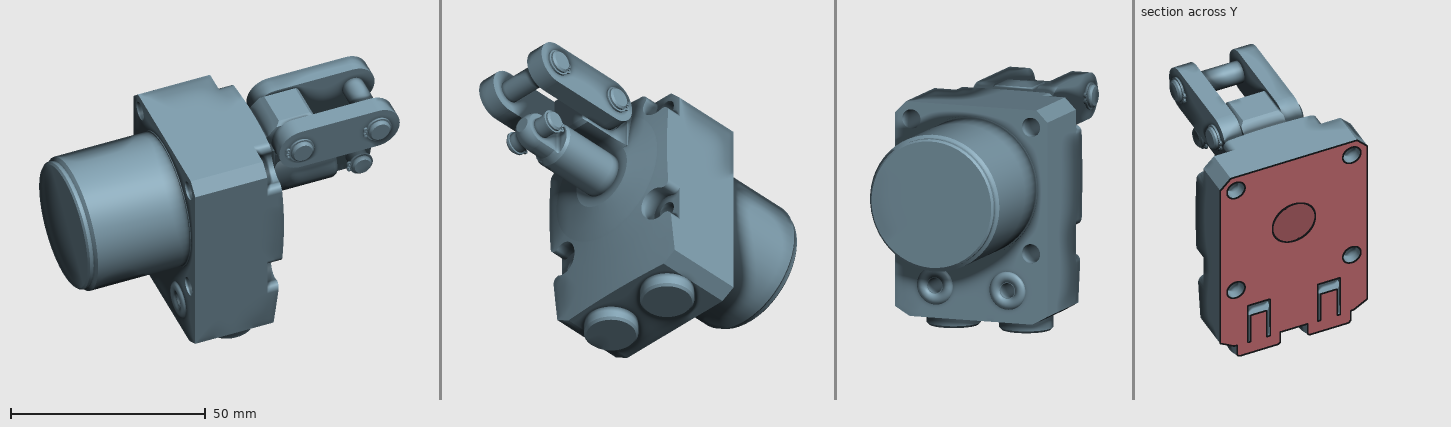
import cadquery as cq
import math

BLOCK_HALF_WIDTH = 21.0
BLOCK_TOP = 21.0
BLOCK_BOTTOM = -35.0
TOP_CHAMFER = 3.0
BOTTOM_CHAMFER_WIDTH = 4.0
BOTTOM_CHAMFER_ANGLE = 30.0
BOTTOM_CHAMFER_HEIGHT = BOTTOM_CHAMFER_WIDTH * math.tan(math.radians(BOTTOM_CHAMFER_ANGLE))

DOME_Y = 27.0
DOME_FLAT_RADIUS = 9.0
DOME_STEP_RADIUS = 18.0
DOME_STEP_Y = 25.1
DOME_OUTER_SLOPE = 0.162
DOME_OUTER_RADIUS = 45.0

CYLINDER_RADIUS = 17.85
CYLINDER_LENGTH = 28.0
CYLINDER_COLLAR_RADIUS = 18.3
CYLINDER_COLLAR_LENGTH = 0.25
CAP_RADIUS = 17.0
CAP_LENGTH = 1.5
CAP_CHAMFER = 0.5
CYLINDER_CHAMFER = CYLINDER_RADIUS - CAP_RADIUS

BOLT_OFFSET = 16.5
BOLT_DIAMETER = 5.0
POCKET_FLOOR_Y = 20.0
UPPER_POCKET_RADIUS = 4.0
LOWER_POCKET_RADIUS = 4.5
POCKET_LIP_RADIUS = 1.7
POCKET_OVERCUT = 2.0

PORT_X = 10.0
PORT_Y = 13.2
PORT_RADIUS = 7.0
PORT_BOTTOM = -38.81
PORT_CHAMFER = 0.6
SEAL_Z = -26.6
SEAL_SECTION_RADIUS = 1.55
SEAL_RING_RADIUS = 3.55
SEAL_CENTER_Y = 0.65
PORT_BORE_RADIUS = 4.5
PORT_BORE_TOP = -23.0
PORT_SPIGOT_RADIUS = 4.0
PORT_SPIGOT_TOP = -26.3

LINK_Z = 15.0
LINK_RADIUS = 6.0
LINK_INNER_X = 6.0
LINK_OUTER_X = 11.15
LEVER_PIN_Y = 54.73
HINGE_PIN_Y = 33.3
LINK_PIN_RADIUS = 3.0
PIN_OVERHANG = 1.6
PIN_CHAMFER = 0.5

RING_THICKNESS = 0.55
RING_WALL = 0.5
RING_EAR_RADIUS = 0.7
RING_EAR_HOLE_RADIUS = 0.3
RING_EAR_SPREAD = 0.8

BRACKET_HALF_WIDTH = LINK_INNER_X
BRACKET_TOP = BLOCK_TOP
BRACKET_BOTTOM = 8.0
BRACKET_END_Y = HINGE_PIN_Y + LINK_RADIUS
BRACKET_CHAMFER = 1.0
BRACKET_ROOT_Y = 23.0
BRACKET_SLOPE_TOP_Y = 29.7
BRACKET_SLOPE_END_Y = 26.1
BRACKET_NOTCH_Z = 17.5
BRACKET_ROOT_FILLET = 3.0
LINK_CLEARANCE_RADIUS = LINK_RADIUS + 0.4

ROD_RADIUS = 6.0
ROD_START_Y = 0.0
ROD_SHOULDER_Y = 44.8
ROD_NECK_Y = 47.0
ROD_NECK_RADIUS = 5.0
ROD_PIN_Y = 51.86
ROD_END_Y = 56.44
TONGUE_HALF_WIDTH = 2.5
TONGUE_START_Y = 45.7
TONGUE_FILLET = 0.8
ROD_PIN_RADIUS = 2.7
ROD_PIN_RING_X = 6.2


def disc_along_x(radius, y, z, half_length):
    """Cylinder parallel to X, centred on the plane X = 0."""
    return (cq.Workplane("YZ").center(y, z).circle(radius)
            .extrude(half_length, both=True))


def rod_along_y(radius, x, z, y_start, y_end):
    """Cylinder parallel to Y between two Y positions."""
    return (cq.Workplane("XZ", origin=(x, y_start, z)).circle(radius)
            .extrude(y_start - y_end))


def revolve_about_y(profile):
    """Revolve an XY profile around the Y axis."""
    return profile.close().revolve(360, (0, 0, 0), (0, 1, 0))


def make_block():
    outline = (
        cq.Workplane("XZ")
        .moveTo(-BLOCK_HALF_WIDTH, BLOCK_BOTTOM + BOTTOM_CHAMFER_HEIGHT)
        .lineTo(-BLOCK_HALF_WIDTH + BOTTOM_CHAMFER_WIDTH, BLOCK_BOTTOM)
        .lineTo(BLOCK_HALF_WIDTH - BOTTOM_CHAMFER_WIDTH, BLOCK_BOTTOM)
        .lineTo(BLOCK_HALF_WIDTH, BLOCK_BOTTOM + BOTTOM_CHAMFER_HEIGHT)
        .lineTo(BLOCK_HALF_WIDTH, BLOCK_TOP - TOP_CHAMFER)
        .lineTo(BLOCK_HALF_WIDTH - TOP_CHAMFER, BLOCK_TOP)
        .lineTo(-BLOCK_HALF_WIDTH + TOP_CHAMFER, BLOCK_TOP)
        .lineTo(-BLOCK_HALF_WIDTH, BLOCK_TOP - TOP_CHAMFER)
        .close()
    )
    prism = outline.extrude(-DOME_Y)
    outer_y = DOME_STEP_Y - DOME_OUTER_SLOPE * (DOME_OUTER_RADIUS - DOME_STEP_RADIUS)
    dome = revolve_about_y(
        cq.Workplane("XY")
        .lineTo(DOME_OUTER_RADIUS, 0)
        .lineTo(DOME_OUTER_RADIUS, outer_y)
        .lineTo(DOME_STEP_RADIUS, DOME_STEP_Y)
        .lineTo(DOME_FLAT_RADIUS, DOME_Y)
        .lineTo(0, DOME_Y)
    )
    return prism.intersect(dome)


def make_cylinder():
    cap_y = -CYLINDER_LENGTH + CAP_LENGTH
    return revolve_about_y(
        cq.Workplane("XY")
        .lineTo(CYLINDER_COLLAR_RADIUS, 0)
        .lineTo(CYLINDER_COLLAR_RADIUS, -CYLINDER_COLLAR_LENGTH)
        .lineTo(CYLINDER_RADIUS, -CYLINDER_COLLAR_LENGTH)
        .lineTo(CYLINDER_RADIUS, cap_y + CYLINDER_CHAMFER)
        .lineTo(CAP_RADIUS, cap_y)
        .lineTo(CAP_RADIUS, -CYLINDER_LENGTH + CAP_CHAMFER)
        .lineTo(CAP_RADIUS - CAP_CHAMFER, -CYLINDER_LENGTH)
        .lineTo(0, -CYLINDER_LENGTH)
    )


def pocket_lip(radius):
    """Rounded lip between a counterbore circle and the flat wall it breaks.

    Returned in coordinates (out, along) measured from the bolt axis: the
    tangent point on the circle, the middle of the lip arc and its end on the wall.
    """
    wall = BLOCK_HALF_WIDTH - BOLT_OFFSET
    center_out = wall - POCKET_LIP_RADIUS
    center_along = math.sqrt((radius + POCKET_LIP_RADIUS) ** 2 - center_out ** 2)
    share = radius / (radius + POCKET_LIP_RADIUS)
    tangent = (center_out * share, center_along * share)
    start_angle = math.atan2(-center_along, -center_out)
    middle_angle = start_angle / 2
    middle = (center_out + POCKET_LIP_RADIUS * math.cos(middle_angle),
              center_along + POCKET_LIP_RADIUS * math.sin(middle_angle))
    return tangent, middle, (wall, center_along)


def upper_pocket():
    """Counterbore at the +X upper hole, open to the side, corner and top."""
    radius = UPPER_POCKET_RADIUS
    tangent, middle, end = pocket_lip(radius)
    beyond = end[0] + POCKET_OVERCUT
    return (
        cq.Workplane("XZ", origin=(BOLT_OFFSET, POCKET_FLOOR_Y, BOLT_OFFSET))
        .moveTo(tangent[0], -tangent[1])
        .threePointArc((middle[0], -middle[1]), (end[0], -end[1]))
        .lineTo(beyond, -end[1])
        .lineTo(beyond, beyond)
        .lineTo(-end[1], beyond)
        .lineTo(-end[1], end[0])
        .threePointArc((-middle[1], middle[0]), (-tangent[1], tangent[0]))
        .threePointArc((-radius * math.sqrt(0.5), -radius * math.sqrt(0.5)),
                       (tangent[0], -tangent[1]))
        .close()
        .extrude(POCKET_FLOOR_Y - DOME_Y)
    )


def lower_pocket():
    """Counterbore at the +X lower hole, open to the side only."""
    radius = LOWER_POCKET_RADIUS
    tangent, middle, end = pocket_lip(radius)
    beyond = end[0] + POCKET_OVERCUT
    return (
        cq.Workplane("XZ", origin=(BOLT_OFFSET, POCKET_FLOOR_Y, -BOLT_OFFSET))
        .moveTo(tangent[0], -tangent[1])
        .threePointArc((middle[0], -middle[1]), (end[0], -end[1]))
        .lineTo(beyond, -end[1])
        .lineTo(beyond, end[1])
        .lineTo(end[0], end[1])
        .threePointArc(middle, tangent)
        .threePointArc((-radius, 0), (tangent[0], -tangent[1]))
        .close()
        .extrude(POCKET_FLOOR_Y - DOME_Y)
    )


def cut_mounting(housing):
    for pocket in (upper_pocket(), lower_pocket()):
        housing = housing.cut(pocket).cut(pocket.mirror("YZ"))
    for x in (-BOLT_OFFSET, BOLT_OFFSET):
        for z in (-BOLT_OFFSET, BOLT_OFFSET):
            housing = housing.cut(rod_along_y(BOLT_DIAMETER / 2, x, z, 0, DOME_Y))
    return housing


def bracket_profile():
    """Side outline of the hinge bracket, curving into the dome below."""
    return (
        cq.Workplane("YZ")
        .moveTo(BRACKET_ROOT_Y, BRACKET_BOTTOM - BRACKET_ROOT_FILLET)
        .lineTo(DOME_Y, BRACKET_BOTTOM - BRACKET_ROOT_FILLET)
        .radiusArc((DOME_Y + BRACKET_ROOT_FILLET, BRACKET_BOTTOM), BRACKET_ROOT_FILLET)
        .lineTo(BRACKET_END_Y, BRACKET_BOTTOM)
        .lineTo(BRACKET_END_Y, BRACKET_TOP)
        .lineTo(BRACKET_SLOPE_TOP_Y, BRACKET_TOP)
        .lineTo(BRACKET_SLOPE_END_Y, BRACKET_NOTCH_Z)
        .lineTo(BRACKET_ROOT_Y, BRACKET_NOTCH_Z)
        .close()
    )


def make_bracket():
    body = bracket_profile().extrude(BRACKET_HALF_WIDTH, both=True)
    body = body.faces(">Y").chamfer(BRACKET_CHAMFER)
    body = body.faces(">Z").edges("|Y").chamfer(BRACKET_CHAMFER)

    root_half_width = BRACKET_HALF_WIDTH + BRACKET_ROOT_FILLET
    fillet_end_y = DOME_Y + BRACKET_ROOT_FILLET
    flare = (
        cq.Workplane("XY")
        .moveTo(-root_half_width, BRACKET_ROOT_Y)
        .lineTo(root_half_width, BRACKET_ROOT_Y)
        .lineTo(root_half_width, DOME_Y)
        .radiusArc((BRACKET_HALF_WIDTH, fillet_end_y), BRACKET_ROOT_FILLET)
        .lineTo(-BRACKET_HALF_WIDTH, fillet_end_y)
        .radiusArc((-root_half_width, DOME_Y), BRACKET_ROOT_FILLET)
        .close()
        .extrude(LINK_Z)
        .intersect(bracket_profile().extrude(root_half_width, both=True))
    )
    swing = disc_along_x(LINK_CLEARANCE_RADIUS, HINGE_PIN_Y, LINK_Z, LINK_OUTER_X)
    return body.union(flare.cut(swing))


def make_ports(housing):
    """Add the two port bosses with inner spigots, and the seal rings with passages."""
    for x in (-PORT_X, PORT_X):
        port = (cq.Workplane("XY", origin=(x, PORT_Y, BLOCK_BOTTOM)).circle(PORT_RADIUS)
                .extrude(PORT_BOTTOM - BLOCK_BOTTOM)
                .faces("<Z").chamfer(PORT_CHAMFER))
        seal = cq.Workplane(cq.Solid.makeTorus(
            SEAL_RING_RADIUS, SEAL_SECTION_RADIUS,
            cq.Vector(x, SEAL_CENTER_Y, SEAL_Z), cq.Vector(0, 1, 0)))
        passage = rod_along_y(SEAL_RING_RADIUS - SEAL_SECTION_RADIUS, x, SEAL_Z,
                              -SEAL_SECTION_RADIUS, PORT_Y)
        bore = (cq.Workplane("XY", origin=(x, PORT_Y, BLOCK_BOTTOM)).circle(PORT_BORE_RADIUS)
                .extrude(PORT_BORE_TOP - BLOCK_BOTTOM))
        spigot = (cq.Workplane("XY", origin=(x, PORT_Y, BLOCK_BOTTOM)).circle(PORT_SPIGOT_RADIUS)
                  .extrude(PORT_SPIGOT_TOP - BLOCK_BOTTOM))
        housing = housing.union(seal).cut(passage).cut(bore).union(port).union(spigot)
    return housing


def make_rings(radius, y, z, ring_x):
    """Retaining rings at -X and +X, each with two drilled ears toward -Y."""
    ears = [(-radius - RING_WALL, side * RING_EAR_SPREAD) for side in (-1, 1)]
    rings = []
    for x in (-ring_x - RING_THICKNESS, ring_x):
        plane = cq.Workplane("YZ", origin=(x, y, z))
        ring = plane.circle(radius + RING_WALL).extrude(RING_THICKNESS)
        ear_discs = plane.pushPoints(ears).circle(RING_EAR_RADIUS).extrude(RING_THICKNESS)
        ear_holes = plane.pushPoints(ears).circle(RING_EAR_HOLE_RADIUS).extrude(RING_THICKNESS)
        rings.append(ring.union(ear_discs).cut(ear_holes))
    return rings


def make_pin(radius, y, z, ring_x):
    """Pin along X with chamfered ends and a retaining ring near each end."""
    pin = (disc_along_x(radius, y, z, ring_x + PIN_OVERHANG)
           .faces("<X or >X").chamfer(PIN_CHAMFER))
    for ring in make_rings(radius, y, z, ring_x):
        pin = pin.union(ring)
    return pin


def make_link():
    link = make_pin(LINK_PIN_RADIUS, HINGE_PIN_Y, LINK_Z, LINK_OUTER_X)
    link = link.union(make_pin(LINK_PIN_RADIUS, LEVER_PIN_Y, LINK_Z, LINK_OUTER_X))
    length = LEVER_PIN_Y - HINGE_PIN_Y + 2 * LINK_RADIUS
    for x in (-LINK_OUTER_X, LINK_INNER_X):
        plate = (cq.Workplane("YZ", origin=(x, (LEVER_PIN_Y + HINGE_PIN_Y) / 2, LINK_Z))
                 .slot2D(length, 2 * LINK_RADIUS)
                 .extrude(LINK_OUTER_X - LINK_INNER_X))
        link = link.union(plate)
    return link


def make_rod_bore():
    """Space the rod takes up inside the housing and bracket root."""
    return rod_along_y(ROD_RADIUS, 0, 0, ROD_START_Y, ROD_SHOULDER_Y)


def make_rod():
    reach = ROD_END_Y - ROD_PIN_Y
    end_radius = math.sqrt(ROD_NECK_RADIUS ** 2 - reach ** 2)
    middle = ROD_NECK_RADIUS * math.sqrt(0.5)
    rod = revolve_about_y(
        cq.Workplane("XY")
        .moveTo(0, ROD_START_Y)
        .lineTo(ROD_RADIUS, ROD_START_Y)
        .lineTo(ROD_RADIUS, ROD_SHOULDER_Y)
        .lineTo(ROD_NECK_RADIUS, ROD_NECK_Y)
        .lineTo(ROD_NECK_RADIUS, ROD_PIN_Y)
        .threePointArc((middle, ROD_PIN_Y + middle), (end_radius, ROD_END_Y))
        .lineTo(0, ROD_END_Y)
    )
    flat = (
        cq.Workplane("XY")
        .moveTo(TONGUE_HALF_WIDTH, ROD_END_Y)
        .lineTo(TONGUE_HALF_WIDTH, TONGUE_START_Y + TONGUE_FILLET)
        .radiusArc((TONGUE_HALF_WIDTH + TONGUE_FILLET, TONGUE_START_Y), -TONGUE_FILLET)
        .lineTo(ROD_RADIUS, TONGUE_START_Y)
        .lineTo(ROD_RADIUS, ROD_END_Y)
        .close()
        .extrude(ROD_RADIUS, both=True)
    )
    rod = rod.cut(flat).cut(flat.mirror("YZ"))
    return rod.cut(disc_along_x(ROD_PIN_RADIUS, ROD_PIN_Y, 0, ROD_RADIUS))


def make_housing():
    housing = make_block().union(make_cylinder()).union(make_bracket())
    housing = cut_mounting(housing)
    housing = make_ports(housing)
    housing = housing.cut(make_rod_bore())
    return housing.cut(disc_along_x(LINK_PIN_RADIUS, HINGE_PIN_Y, LINK_Z, LINK_INNER_X))


housing = make_housing()
piston_rod = make_rod()
link = make_link()
rod_pin = make_pin(ROD_PIN_RADIUS, ROD_PIN_Y, 0, ROD_PIN_RING_X)

result = cq.Compound.makeCompound(
    [housing.val(), piston_rod.val(), link.val(), rod_pin.val()])